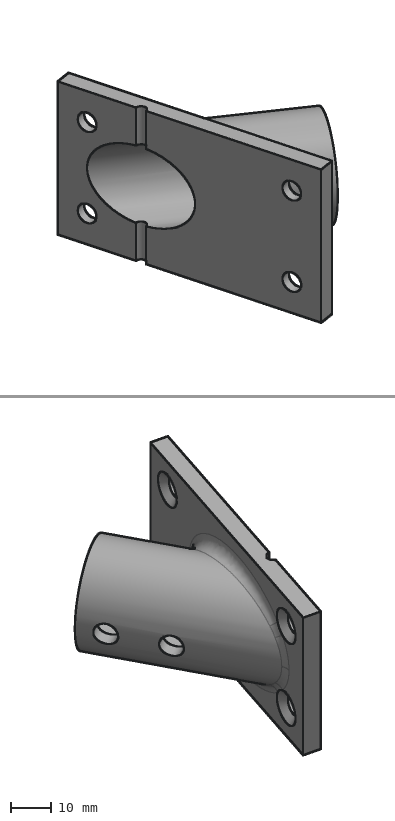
import cadquery as cq
import math

plate_length = 78.0
plate_thickness = 5.0
plate_height = 44.5

mount_hole_diameter = 5.5
mount_inset_x = 8.7
mount_inset_z = 9.0
countersink_depth = 2.0
countersink_diameter = mount_hole_diameter + 2 * countersink_depth

socket_angle = 45.0
socket_x = 24.7
tube_diameter = 30.0
bore_diameter = 22.6
overall_depth = 43.7
fillet_radius = 3.0

screw_hole_diameter = 6.4
screw_hole_setbacks = (8.0, 25.0)

groove_diameter = 3.0

angle = math.radians(socket_angle)
axis_direction = cq.Vector(math.cos(angle), math.sin(angle), 0)
outward_direction = cq.Vector(-math.sin(angle), math.cos(angle), 0)
plate_normal = cq.Vector(0, 1, 0)
vertical = cq.Vector(0, 0, 1)
socket_origin = cq.Vector(socket_x, 0, plate_height / 2)
axis_length = (overall_depth - tube_diameter / 2 * math.cos(angle)) / math.sin(angle)
lead_in = tube_diameter


def cylinder(diameter, length, start, direction):
    return cq.Workplane(obj=cq.Solid.makeCylinder(diameter / 2, length, start, direction))


def cone(start_diameter, end_diameter, length, start, direction):
    return cq.Workplane(
        obj=cq.Solid.makeCone(start_diameter / 2, end_diameter / 2, length, start, direction)
    )


def make_plate():
    return cq.Workplane().box(plate_length, plate_thickness, plate_height, centered=False)


def cut_mount_holes(body):
    for x in (mount_inset_x, plate_length - mount_inset_x):
        for z in (mount_inset_z, plate_height - mount_inset_z):
            hole_start = cq.Vector(x, 0, z)
            sink_start = cq.Vector(x, plate_thickness - countersink_depth, z)
            hole = cylinder(mount_hole_diameter, plate_thickness, hole_start, plate_normal)
            sink = cone(
                mount_hole_diameter, countersink_diameter, countersink_depth, sink_start, plate_normal
            )
            body = body.cut(hole).cut(sink)
    return body


def add_tube(body):
    """Join the inclined tube to the back of the plate and fillet around its foot."""
    start = socket_origin - axis_direction * lead_in
    tube = cylinder(tube_diameter, lead_in + axis_length, start, axis_direction)
    space_behind_plate = (
        cq.Workplane()
        .box(plate_length, overall_depth, plate_height, centered=False)
        .translate(plate_normal * plate_thickness)
    )
    body = body.union(tube.intersect(space_behind_plate))
    return body.edges("%ELLIPSE").fillet(fillet_radius)


def cut_bore(body):
    start = socket_origin - axis_direction * lead_in
    return body.cut(cylinder(bore_diameter, lead_in + axis_length, start, axis_direction))


def cut_screw_holes(body):
    for setback in screw_hole_setbacks:
        start = socket_origin + axis_direction * (axis_length - setback)
        body = body.cut(cylinder(screw_hole_diameter, tube_diameter, start, outward_direction))
    return body


def cut_groove(body):
    start = cq.Vector(socket_x, 0, 0)
    return body.cut(cylinder(groove_diameter, plate_height, start, vertical))


part = cut_mount_holes(make_plate())
part = add_tube(part)
part = cut_bore(part)
part = cut_screw_holes(part)
result = cut_groove(part)